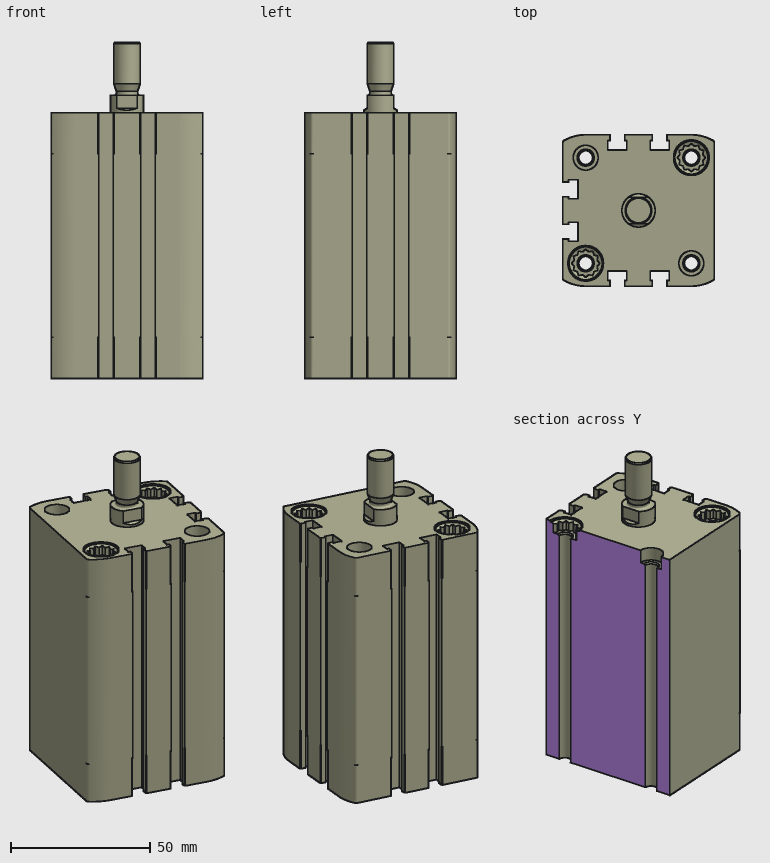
import cadquery as cq
import math

width = 54.5
half_width = width / 2
housing_height = 95.6
cap_height = 14.9
barrel_height = housing_height - 2 * cap_height
upper_cap_z = cap_height + barrel_height
crown_radius = 15.5
cap_corner_radius = 1.1
barrel_corner_radius = 1.0

slot_offset = 7.6
slot_mouth_width = 5.2
slot_inner_width = 6.8
slot_lip = 2.2
slot_depth = 5.5
slot_edge_chamfer = 0.4

hole_offset = 19.0
hole_diameter = 5.0
lead_in_diameter = 6.0
counterbore_diameter = 9.0
counterbore_depth = 5.0

rim_diameter = 12.8
rim_depth = 0.5
funnel_diameter = 11.8
funnel_depth = 0.7
socket_points = 12
socket_depth = 4.5
socket_point_diameter = 10.2
socket_root_diameter = 8.5

overall_height = 120.9
rod_diameter = 12.0
shoulder_height = 6.3
across_flats = 9.5
flat_start = 1.6
flat_runout_angle = 30.0
neck_diameter = 7.7
neck_fillet = 0.6
neck_height = 1.5
thread_diameter = 9.5
thread_tip_diameter = 9.0
thread_tip_height = 0.6
thread_runout = 2.5


def housing_section(height, corner_radius):
    """Square block with crowned corners, without slots or holes."""
    crown_start = half_width - crown_radius
    reach = half_width - hole_offset
    corner_y = crown_start + math.sqrt(crown_radius**2 - reach**2)
    mid_x = hole_offset + reach / 2
    mid_y = crown_start + math.sqrt(crown_radius**2 - (reach / 2) ** 2)
    return (
        cq.Workplane("XY")
        .moveTo(-hole_offset, half_width)
        .lineTo(hole_offset, half_width)
        .threePointArc((mid_x, mid_y), (half_width, corner_y))
        .lineTo(half_width, -corner_y)
        .threePointArc((mid_x, -mid_y), (hole_offset, -half_width))
        .lineTo(-hole_offset, -half_width)
        .threePointArc((-mid_x, -mid_y), (-half_width, -corner_y))
        .lineTo(-half_width, corner_y)
        .threePointArc((-mid_x, mid_y), (-hole_offset, half_width))
        .close()
        .extrude(height)
        .edges("|Z and (>X or <X)")
        .fillet(corner_radius)
    )


def slot_cutter():
    """Full-height T-slot opening on the +Y side."""
    mouth = slot_mouth_width / 2
    inner = slot_inner_width / 2
    right_side = [
        (mouth, half_width),
        (mouth, half_width - slot_lip),
        (inner, half_width - slot_lip),
        (inner, half_width - slot_depth),
    ]
    left_side = [(-x, y) for x, y in reversed(right_side)]
    return cq.Workplane("XY").polyline(right_side + left_side).close().extrude(housing_height)


def mouth_chamfer_cutter(bottom_z):
    """Cutter that bevels both edges of a slot mouth over the height of one end cap."""
    mouth = slot_mouth_width / 2
    return (
        cq.Workplane("XY", origin=(0, 0, bottom_z))
        .polyline(
            [
                (mouth + slot_edge_chamfer, half_width),
                (mouth, half_width - slot_edge_chamfer),
                (-mouth, half_width - slot_edge_chamfer),
                (-mouth - slot_edge_chamfer, half_width),
            ]
        )
        .close()
        .extrude(cap_height)
    )


def cut_slots(body):
    """Cut a pair of slots into each of the +Y, -X and -Y sides."""
    cutters = [slot_cutter(), mouth_chamfer_cutter(0), mouth_chamfer_cutter(upper_cap_z)]
    for angle in (0, 90, 180):
        for offset in (-slot_offset, slot_offset):
            for cutter in cutters:
                placed = cutter.translate((offset, 0, 0)).rotate((0, 0, 0), (0, 0, 1), angle)
                body = body.cut(placed, clean=False)
    return body


def cone(top_diameter, bottom_diameter, top_z, depth):
    """Conical cutter narrowing downwards from top_z."""
    return cq.Workplane(
        cq.Solid.makeCone(
            bottom_diameter / 2, top_diameter / 2, depth, pnt=cq.Vector(0, 0, top_z - depth)
        )
    )


def cylinder(diameter, bottom_z, top_z):
    return cq.Workplane("XY", origin=(0, 0, bottom_z)).circle(diameter / 2).extrude(top_z - bottom_z)


def screw_hole(floor_z):
    """Through hole with a conical lead-in at floor_z, the floor of its recess."""
    lead_in_depth = (lead_in_diameter - hole_diameter) / 2
    lead_in = cone(lead_in_diameter, hole_diameter, floor_z, lead_in_depth)
    return cylinder(hole_diameter, 0, floor_z).union(lead_in)


def counterbored_hole():
    floor_z = housing_height - counterbore_depth
    return cylinder(counterbore_diameter, floor_z, housing_height).union(screw_hole(floor_z))


def star_socket_hole():
    """Screw hole under a twelve-point socket, which opens through a funnel and a stepped rim."""
    floor_z = housing_height - socket_depth
    rim_floor_z = housing_height - rim_depth
    step_angle = math.pi / socket_points
    star = []
    for i in range(2 * socket_points):
        radius = (socket_root_diameter if i % 2 else socket_point_diameter) / 2
        star.append((radius * math.cos(i * step_angle), radius * math.sin(i * step_angle)))
    socket = (
        cq.Workplane("XY", origin=(0, 0, floor_z))
        .polyline(star)
        .close()
        .extrude(socket_depth)
    )
    rim = cylinder(rim_diameter, rim_floor_z, housing_height)
    funnel = cone(funnel_diameter, socket_root_diameter, rim_floor_z, funnel_depth)
    return socket.union(funnel).union(rim).union(screw_hole(floor_z))


def make_housing():
    cap = housing_section(cap_height, cap_corner_radius)
    barrel = housing_section(barrel_height, barrel_corner_radius)
    housing = cap.union(barrel.translate((0, 0, cap_height)), clean=False)
    housing = housing.union(cap.translate((0, 0, upper_cap_z)), clean=False)
    housing = cut_slots(housing)
    for x_side in (-1, 1):
        for y_side in (-1, 1):
            hole = star_socket_hole() if x_side == y_side else counterbored_hole()
            place = (x_side * hole_offset, y_side * hole_offset, 0)
            housing = housing.cut(hole.translate(place), clean=False)
    return housing


def make_rod():
    shoulder_z = housing_height + shoulder_height
    neck_radius = neck_diameter / 2
    fillet_mid = neck_fillet * (1 - math.sqrt(0.5))
    rod = (
        cq.Workplane("XZ")
        .moveTo(0, housing_height)
        .lineTo(rod_diameter / 2, housing_height)
        .lineTo(rod_diameter / 2, shoulder_z)
        .lineTo(neck_radius + neck_fillet, shoulder_z)
        .threePointArc(
            (neck_radius + fillet_mid, shoulder_z + fillet_mid),
            (neck_radius, shoulder_z + neck_fillet),
        )
        .lineTo(neck_radius, shoulder_z + neck_height)
        .lineTo(thread_diameter / 2, shoulder_z + neck_height + thread_runout)
        .lineTo(thread_diameter / 2, overall_height - thread_tip_height)
        .lineTo(thread_tip_diameter / 2, overall_height)
        .lineTo(0, overall_height)
        .close()
        .revolve(360, (0, 0, 0), (0, 1, 0))
    )
    return rod.cut(flat_cutter(1)).cut(flat_cutter(-1))


def flat_cutter(side):
    """Wrench-flat cutter on the +Y (side = 1) or -Y (side = -1) flank of the rod shoulder."""
    flat_y = across_flats / 2
    outer_y = rod_diameter / 2
    flat_z = housing_height + flat_start
    runout_z = flat_z - (outer_y - flat_y) * math.tan(math.radians(flat_runout_angle))
    shoulder_z = housing_height + shoulder_height
    return (
        cq.Workplane("YZ")
        .polyline(
            [
                (side * flat_y, shoulder_z),
                (side * flat_y, flat_z),
                (side * outer_y, runout_z),
                (side * outer_y, shoulder_z),
            ]
        )
        .close()
        .extrude(rod_diameter / 2, both=True)
    )


housing = make_housing()
rod = make_rod()

result = cq.Compound.makeCompound([housing.val(), rod.val()])